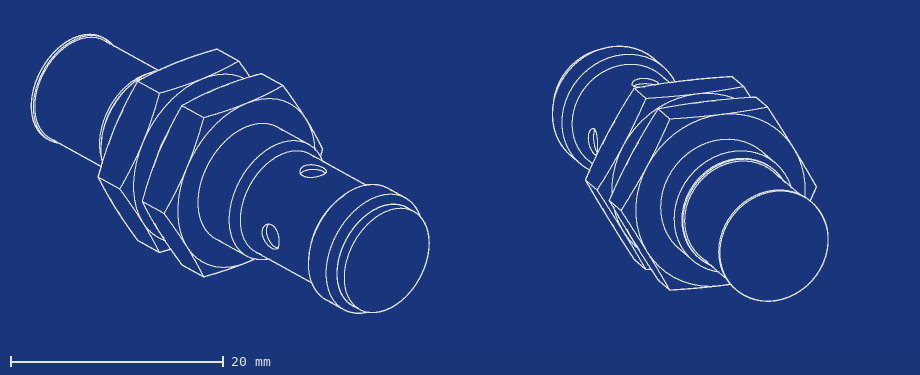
import cadquery as cq
import math

length = 45.05
thread_dia = 12.02
neck_dia = 10.55
land_dia = 10.9
face_land_length = 0.3
thread_start = 10.7
thread_end = 29.25
collar_start = 40.7
collar_end = 43.27
collar_chamfer = 0.7
front_land_length = 0.25

window_count = 4
window_x = 34.4
window_dia = 2.48
window_depth = 0.55
drill_point_angle = 118.0

nut_count = 2
across_flats = 17.0
nut_width = 4.05
nut_start = 14.3
nut_pitch = 6.4
nut_chamfer_depth = 0.45

neck_radius = neck_dia / 2
land_radius = land_dia / 2
thread_radius = thread_dia / 2
across_corners = across_flats / math.cos(math.radians(30))


def make_turned_barrel():
    """Revolve the stepped barrel profile about the X axis."""
    neck_chamfer = thread_radius - neck_radius
    front_cone_start = thread_start - (thread_radius - land_radius)
    collar_end_radius = thread_radius - collar_chamfer
    profile = [
        (0, 0),
        (0, land_radius),
        (face_land_length, land_radius),
        (face_land_length, neck_radius),
        (front_cone_start - front_land_length, neck_radius),
        (front_cone_start - front_land_length, land_radius),
        (front_cone_start, land_radius),
        (thread_start, thread_radius),
        (thread_end, thread_radius),
        (thread_end + neck_chamfer, neck_radius),
        (collar_start - neck_chamfer, neck_radius),
        (collar_start, thread_radius),
        (collar_end, thread_radius),
        (collar_end + collar_chamfer, collar_end_radius),
        (collar_end + collar_chamfer, neck_radius),
        (length, neck_radius),
        (length, 0),
    ]
    return cq.Workplane("XY").polyline(profile).close().revolve(360, (0, 0, 0), (1, 0, 0))


def make_window_cutter():
    """Drill shape that enters the rear neck from +Z and ends in a cone."""
    radius = window_dia / 2
    floor = neck_radius - window_depth
    tip = floor - radius / math.tan(math.radians(drill_point_angle / 2))
    profile = [(0, tip), (radius, floor), (radius, thread_radius), (0, thread_radius)]
    drill = cq.Workplane("XZ").polyline(profile).close().revolve(360, (0, 0, 0), (0, 1, 0))
    return drill.translate((window_x, 0, 0))


def make_barrel():
    barrel = make_turned_barrel()
    cutter = make_window_cutter()
    for i in range(window_count):
        angle = 360 / window_count * i
        barrel = barrel.cut(cutter.rotate((0, 0, 0), (1, 0, 0), angle))
    return barrel


def make_nut(start):
    """Hexagon nut with corners on the Y axis and chamfered corners on both faces."""
    hexagon = cq.Workplane("YZ").polygon(6, across_corners).extrude(nut_width)
    flat_radius = across_flats / 2
    corner_radius = across_corners / 2
    chamfer_profile = [
        (0, 0),
        (0, flat_radius),
        (nut_chamfer_depth, corner_radius),
        (nut_width - nut_chamfer_depth, corner_radius),
        (nut_width, flat_radius),
        (nut_width, 0),
    ]
    envelope = cq.Workplane("XY").polyline(chamfer_profile).close().revolve(360, (0, 0, 0), (1, 0, 0))
    bore = cq.Workplane("YZ").circle(thread_radius).extrude(nut_width)
    return hexagon.intersect(envelope).cut(bore).translate((start, 0, 0))


barrel = make_barrel()
nuts = [make_nut(nut_start + nut_pitch * i) for i in range(nut_count)]

result = cq.Compound.makeCompound([barrel.val(), *[nut.val() for nut in nuts]])